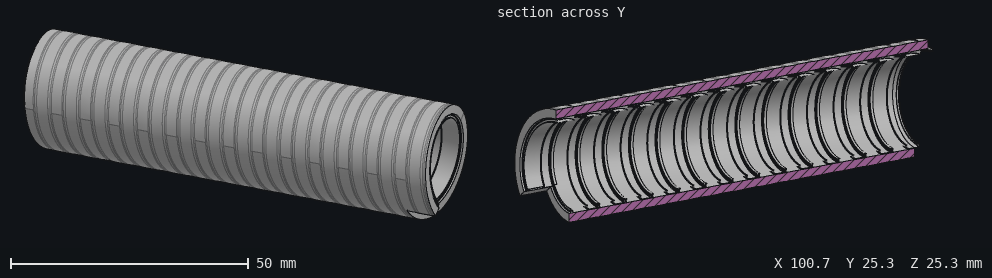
import cadquery as cq
AXIS = (0, 0, 1)
ORIGIN = (0, 0, 0)

length = 100.7
whole_turns = 13
part_turn_angle = 220
strip_lead_in = 1.2
turns = whole_turns + part_turn_angle / 360
pitch = (length - strip_lead_in) / (turns + 1)
helix_height = turns * pitch

bore_radius = 21.2 / 2
valley_radius = 25.2 / 2
crest_radius = 25.3 / 2
crest_start = 4.1
crest_width = 2.6
ramp_run = 1.0
foot_sink = 0.003
rib_anchor_radius = 12.1
cutter_margin = 1.0

sheet = 0.15
hook_clearance = 0.05
strip_outer_radius = bore_radius
strip_inner_radius = 19.2 / 2
hook_width = 0.7
riser_start = 2.9
riser_run = 0.3
strip_width = 7.7


def helical_sweep(outline, height):
    """Screw a closed outline in the XZ plane around Z, along a helix that starts level with its middle."""
    middle = cq.Vector(0, 0, outline.val().BoundingBox().center.z)
    path = cq.Wire.makeHelix(pitch, height, valley_radius, center=middle)
    return cq.Workplane(cq.Solid.sweep(outline.val(), [], path, makeSolid=True, isFrenet=True))


def step_cutters(depth):
    """Two half-turn bands that together cut one end of a tube to a helical step."""
    inner = bore_radius - cutter_margin
    outer = crest_radius + cutter_margin
    band = cq.Workplane("XZ").polyline([(inner, 0), (outer, 0), (outer, depth), (inner, depth)]).close()
    half_turn = helical_sweep(band, pitch / 2)
    return [half_turn, half_turn.rotate(ORIGIN, AXIS, 180).translate((0, 0, pitch / 2))]


def make_tube():
    tube = cq.Workplane("XY").circle(valley_radius).circle(bore_radius).extrude(length)
    tube = tube.rotate(ORIGIN, AXIS, 180)
    for cutter in step_cutters(-2 * pitch):
        tube = tube.cut(cutter.translate((0, 0, strip_lead_in)))
    for cutter in step_cutters(2 * pitch):
        tube = tube.cut(cutter.rotate(ORIGIN, AXIS, part_turn_angle).translate((0, 0, length - pitch)))
    return tube


def make_rib():
    """Each ramp is a pair of tangent arcs, hollow at the foot and round at the crest."""
    foot_radius = valley_radius - foot_sink
    rise = crest_radius - foot_radius
    foot_start = crest_start - ramp_run
    crest_end = crest_start + crest_width
    foot_end = crest_end + ramp_run
    foot_bulge = foot_radius + rise / 8
    mid_radius = foot_radius + rise / 2
    crest_bulge = crest_radius - rise / 8
    outline = (
        cq.Workplane("XZ")
        .moveTo(rib_anchor_radius, foot_start)
        .lineTo(foot_radius, foot_start)
        .threePointArc((foot_bulge, foot_start + ramp_run / 4), (mid_radius, foot_start + ramp_run / 2))
        .threePointArc((crest_bulge, crest_start - ramp_run / 4), (crest_radius, crest_start))
        .lineTo(crest_radius, crest_end)
        .threePointArc((crest_bulge, crest_end + ramp_run / 4), (mid_radius, crest_end + ramp_run / 2))
        .threePointArc((foot_bulge, foot_end - ramp_run / 4), (foot_radius, foot_end))
        .lineTo(rib_anchor_radius, foot_end)
        .close()
    )
    return helical_sweep(outline, helix_height)


def make_cover():
    return make_tube().union(make_rib())


def make_strip():
    inner_flat_top = strip_inner_radius + sheet
    outer_flat_bottom = strip_outer_radius - sheet
    lower_hook_bottom = inner_flat_top + hook_clearance
    lower_hook_top = lower_hook_bottom + sheet
    upper_hook_top = outer_flat_bottom - hook_clearance
    upper_hook_bottom = upper_hook_top - sheet
    riser_end = riser_start + riser_run
    outline = [
        (lower_hook_bottom, hook_width),
        (lower_hook_bottom, 0),
        (strip_outer_radius, 0),
        (strip_outer_radius, riser_start + sheet),
        (inner_flat_top, riser_end + sheet),
        (inner_flat_top, strip_width - sheet),
        (upper_hook_bottom, strip_width - sheet),
        (upper_hook_bottom, strip_width - hook_width),
        (upper_hook_top, strip_width - hook_width),
        (upper_hook_top, strip_width),
        (strip_inner_radius, strip_width),
        (strip_inner_radius, riser_end),
        (outer_flat_bottom, riser_start),
        (outer_flat_bottom, sheet),
        (lower_hook_top, sheet),
        (lower_hook_top, hook_width),
    ]
    return helical_sweep(cq.Workplane("XZ").polyline(outline).close(), helix_height)


def lay_along_x(body):
    return body.rotate(ORIGIN, (1, 1, 1), 120)


cover = lay_along_x(make_cover())
strip = lay_along_x(make_strip())

result = cq.Compound.makeCompound([cover.val(), strip.val()])